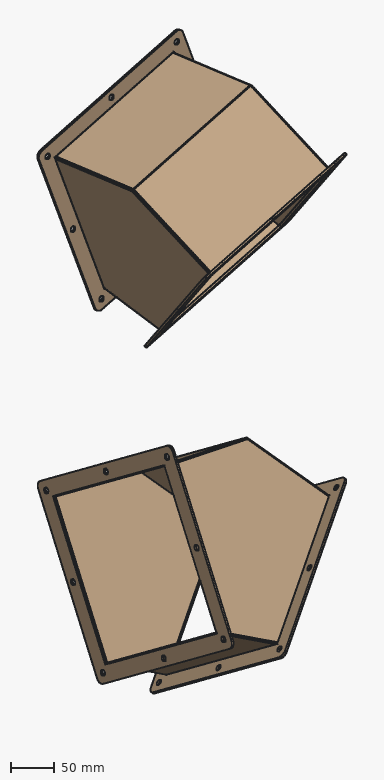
import cadquery as cq
import math

TILT = 22.5
OVERALL_WIDTH = 263.5

FLANGE_SIZE = 244.5
FLANGE_THICKNESS = 3.0
FLANGE_CORNER_RADIUS = 8.0
OPENING_SIZE = 202.5
HOLE_DIAMETER = 7.0
CORNER_HOLE_PITCH = 219.5
MIDDLE_HOLE_PITCH = 225.0

DUCT_SIZE = 203.5
WALL = 1.7
CORNER_CHAMFER = 2.5
RIDGE_CHAMFER = 0.65
CUT_OVERRUN = 5.3

SIN = math.sin(math.radians(TILT))
COS = math.cos(math.radians(TILT))
TAN = SIN / COS

FACE_X = -OVERALL_WIDTH / 2 + FLANGE_SIZE / 2 * SIN + FLANGE_THICKNESS * COS
FACE_Z = FLANGE_SIZE / 2 * COS + FLANGE_THICKNESS * SIN

FLOOR_Z = FACE_Z - DUCT_SIZE / 2 * COS
EAVE_X = FACE_X - DUCT_SIZE / 2 * SIN
APEX_Z = FACE_Z + DUCT_SIZE / 2 * COS - EAVE_X * TAN


def make_flange(side):
    """Drilled square frame; side is -1 for the left flange and 1 for the right one."""
    inner_face = cq.Plane(
        origin=(-side * FACE_X, 0, FACE_Z),
        xDir=(0, 1, 0),
        normal=(side * COS, 0, -SIN),
    )
    corner = CORNER_HOLE_PITCH / 2
    middle = MIDDLE_HOLE_PITCH / 2
    hole_centres = [(u, v) for u in (-corner, corner) for v in (-corner, corner)]
    hole_centres += [(-middle, 0), (middle, 0), (0, -middle), (0, middle)]

    plate = cq.Workplane(inner_face).rect(FLANGE_SIZE, FLANGE_SIZE).extrude(FLANGE_THICKNESS)
    plate = plate.edges(cq.selectors.ParallelDirSelector(inner_face.zDir)).fillet(FLANGE_CORNER_RADIUS)
    opening = cq.Workplane(inner_face).rect(OPENING_SIZE, OPENING_SIZE).extrude(FLANGE_THICKNESS)
    holes = (
        cq.Workplane(inner_face)
        .pushPoints(hole_centres)
        .circle(HOLE_DIAMETER / 2)
        .extrude(FLANGE_THICKNESS)
    )
    return plate.cut(opening).cut(holes)


def make_duct_prism(inset, overrun):
    """Five-sided prism with its roof, floor and Y sides moved in by inset, and its ends out by overrun."""
    apex_z = APEX_Z - inset / COS
    floor_z = FLOOR_Z + inset
    end_x = FACE_X - overrun * COS
    end_z = FACE_Z - overrun * SIN
    floor_x = end_x + (end_z - floor_z) * TAN
    eave_x = (end_x + (end_z - apex_z) * TAN) * COS**2
    eave_z = apex_z + eave_x * TAN
    outline = [
        (floor_x, floor_z),
        (eave_x, eave_z),
        (0, apex_z),
        (-eave_x, eave_z),
        (-floor_x, floor_z),
    ]
    depth = DUCT_SIZE - 2 * inset
    return cq.Workplane("XZ").polyline(outline).close().extrude(depth / 2, both=True)


def chamfer_outside(prism):
    """Chamfer the roof ridge, and the long corners between the Y sides and the roof or floor."""
    roof_z = APEX_Z + EAVE_X / 2 * TAN
    corners = cq.Workplane()
    for x, z in [(EAVE_X / 2, roof_z), (-EAVE_X / 2, roof_z), (0, FLOOR_Z)]:
        for y in (-DUCT_SIZE / 2, DUCT_SIZE / 2):
            corners = corners.add(prism.edges(cq.selectors.NearestToPointSelector((x, y, z))))
    prism = prism.newObject([prism.val().chamfer(CORNER_CHAMFER, None, corners.vals())])
    return prism.edges("|Y").edges(">Z").chamfer(RIDGE_CHAMFER)


def make_duct():
    outside = chamfer_outside(make_duct_prism(0, 0))
    cavity = make_duct_prism(WALL, CUT_OVERRUN)
    return outside.cut(cavity)


duct = make_duct()
flanges = [make_flange(side) for side in (-1, 1)]

result = cq.Compound.makeCompound([duct.val(), *[flange.val() for flange in flanges]])